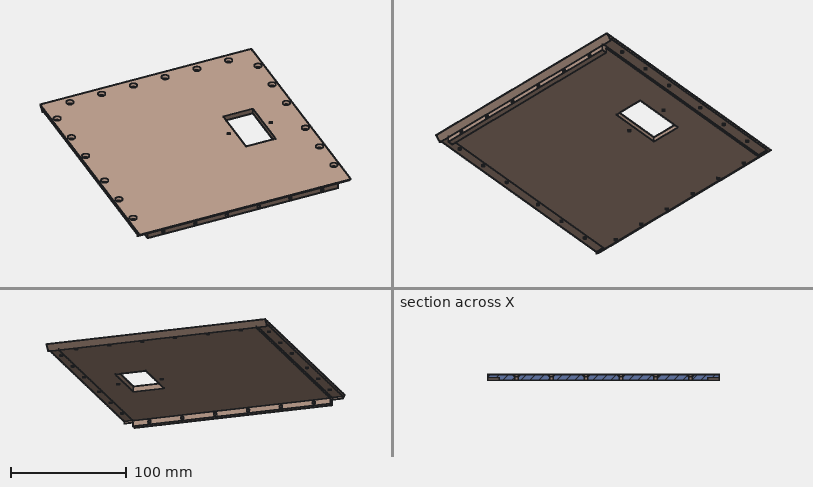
import cadquery as cq

length = 210.0
width = 200.0
plate_thickness = 5.0
edge_run = 5.0

lip_thickness = 5.0
lip_height = 5.0

relief_width = 9.9
edge_thickness = 3.0

screw_diameter = 2.5
countersink_diameter = 6.5
countersink_angle = 90
screw_pitch = 30.0
side_row_inset = 5.0
end_row_inset = 7.5
middle_gap = 40.0

window_length = 48.0
window_width = 28.0
window_y = 51.0
window_hole_diameter = 2.5
window_hole_x = 0.8
window_hole_offset = 20.0

half_bottom = length / 2 - edge_run
overall_height = plate_thickness + lip_height

side_row = [sign * (middle_gap / 2 + i * screw_pitch) for sign in (-1, 1) for i in range(3)]
end_row = [(i - 2.5) * screw_pitch for i in range(6)]


def make_plate():
    profile = [
        (-length / 2, 0),
        (length / 2, 0),
        (half_bottom, -plate_thickness),
        (-half_bottom, -plate_thickness),
    ]
    return cq.Workplane("XZ").polyline(profile).close().extrude(width / 2, both=True)


def cut_edge_reliefs(body):
    """Thin both Y edges from below, leaving the sloped X ends at full depth."""
    relief_depth = plate_thickness - edge_thickness
    relief_y = (width - relief_width) / 2
    reliefs = (
        cq.Workplane("XY", origin=(0, 0, -plate_thickness))
        .pushPoints([(0, -relief_y), (0, relief_y)])
        .rect(2 * half_bottom, relief_width)
        .extrude(relief_depth)
    )
    return body.cut(reliefs)


def make_lip():
    lip = cq.Workplane("XY").box(
        lip_thickness, width - 2 * relief_width, lip_height, centered=(False, True, False)
    )
    return lip.translate((half_bottom - lip_thickness, 0, -overall_height))


def cut_countersunk_holes(body):
    points = [(x, sign * (width / 2 - side_row_inset)) for x in side_row for sign in (-1, 1)]
    points += [(end_row_inset - length / 2, y) for y in end_row]
    return (
        body.faces(">Z")
        .workplane(origin=(0, 0, 0))
        .pushPoints(points)
        .cskHole(screw_diameter, countersink_diameter, countersink_angle)
    )


def cut_lip_holes(body):
    hole_z = -plate_thickness - lip_height / 2
    drills = (
        cq.Workplane("YZ", origin=(half_bottom - lip_thickness, 0, 0))
        .pushPoints([(y, hole_z) for y in end_row])
        .circle(screw_diameter / 2)
        .extrude(lip_thickness)
    )
    return body.cut(drills)


def cut_window(body):
    top = cq.Workplane("XY").center(0, window_y)
    window = top.rect(window_length, window_width).extrude(-plate_thickness)
    holes = (
        top.pushPoints([(window_hole_x, -window_hole_offset), (window_hole_x, window_hole_offset)])
        .circle(window_hole_diameter / 2)
        .extrude(-plate_thickness)
    )
    return body.cut(window).cut(holes)


plate = cut_edge_reliefs(make_plate()).union(make_lip())
plate = cut_countersunk_holes(plate)
plate = cut_lip_holes(plate)
result = cut_window(plate)